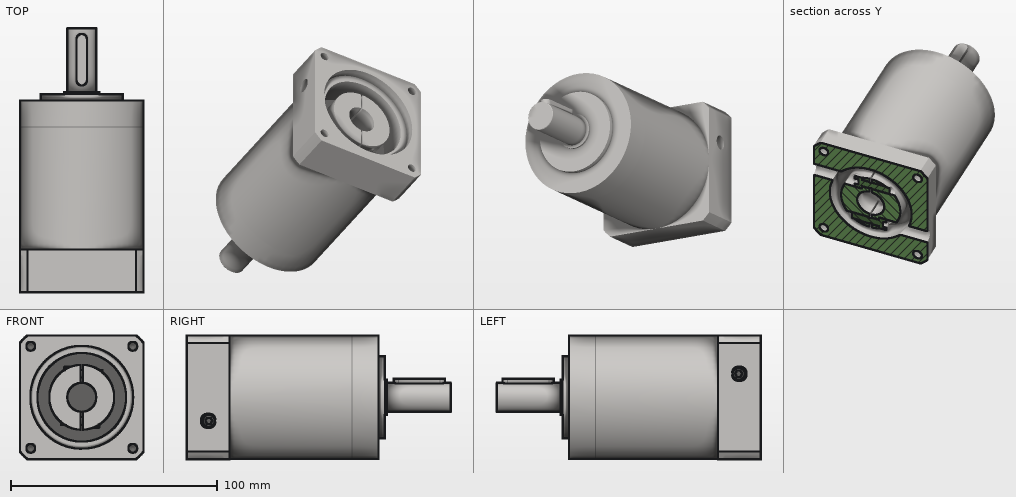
import cadquery as cq
import math

flange_length = 20.7
cover_joint = 80.1
cover_face = 93.0
pilot_face = 96.0
shoulder_face = 97.0
shaft_tip = 128.0

square_side = 60.0
corner_circle_radius = 40.0
motor_pilot_radius = 25.0
motor_pilot_depth = 5.1
cavity_radius = 21.5
bolt_spacing = 49.4
bolt_hole_radius = 2.2
bolt_hole_depth = 11.5
drill_point_angle = 118.0
access_hole_radius = 3.5
access_hole_station = flange_length / 2

housing_radius = square_side / 2
output_pilot_radius = 20.0

shaft_radius = 7.0
shoulder_radius = 8.6
tip_chamfer = 0.3
key_length = 25.0
key_width = 5.0
key_top = 9.1
key_tip_gap = 2.8

hub_face = 6.0
hub_radius = 15.7
bore_radius = 7.0
slot_width = 1.0
journal_radius = 11.5
journal_length = 6.4
journal_end = flange_length + journal_length

screw_station = 10.8
screw_offset = 11.4
screw_head_end = 8.6
screw_tip = 10.1
screw_head_radius = 3.5
screw_head_length = 4.0
screw_head_chamfer = 0.5
screw_thread_radius = 1.9
screw_turns = (0, 180)
socket_across_flats = 3.0
socket_depth = 2.0
socket_sides = 6


def cylinder(radius, start, end):
    """Cylinder on the Y axis between two stations."""
    return cq.Workplane("XZ", origin=(0, start, 0)).circle(radius).extrude(start - end)


def x_cylinder(radius, start, end, y, z):
    """Cylinder parallel to the X axis."""
    return cq.Workplane("YZ", origin=(start, y, z)).circle(radius).extrude(end - start)


def turned(body, angle):
    """Copy of a body turned about the Y axis."""
    return body.rotate((0, 0, 0), (0, 1, 0), angle)


def make_bolt_holes():
    """Four blind drilled holes with conical ends, entering the motor side."""
    point = bolt_hole_radius / math.tan(math.radians(drill_point_angle / 2))
    profile = cq.Workplane("XY").polyline([
        (0, 0),
        (bolt_hole_radius, 0),
        (bolt_hole_radius, bolt_hole_depth),
        (0, bolt_hole_depth + point),
    ]).close()
    drill = profile.revolve(360, (0, 0), (0, 1)).val()
    half = bolt_spacing / 2
    return [drill.translate(cq.Vector(x, 0, z)) for x in (-half, half) for z in (-half, half)]


def make_flange():
    block = cq.Workplane("XZ").rect(square_side, square_side).extrude(-flange_length)
    flange = block.intersect(cylinder(corner_circle_radius, 0, flange_length))
    flange = flange.cut(cylinder(motor_pilot_radius, 0, motor_pilot_depth))
    flange = flange.cut(cylinder(cavity_radius, 0, flange_length))
    for hole in make_bolt_holes():
        flange = flange.cut(hole)
    access_hole = x_cylinder(access_hole_radius, -square_side / 2, 0, access_hole_station, screw_offset)
    for angle in screw_turns:
        flange = flange.cut(turned(access_hole, angle))
    return flange


def make_housing():
    barrel = cylinder(housing_radius, flange_length, cover_joint)
    barrel = barrel.cut(cylinder(journal_radius, flange_length, journal_end))
    end_section = cylinder(housing_radius, cover_joint, cover_face)
    pilot = cylinder(output_pilot_radius, cover_face, pilot_face)
    return barrel.union(end_section, clean=False).union(pilot, clean=False)


def make_shaft():
    shaft = cylinder(shaft_radius, shoulder_face, shaft_tip).faces(">Y").chamfer(tip_chamfer)
    shaft = shaft.union(cylinder(shoulder_radius, pilot_face, shoulder_face))
    key_middle = shaft_tip - key_tip_gap - key_length / 2
    key = cq.Workplane("XY", origin=(0, key_middle, 0)).slot2D(key_length, key_width, 90).extrude(key_top)
    return shaft.union(key)


def make_screw():
    seat = -screw_head_end + screw_head_length
    head = x_cylinder(screw_head_radius, -screw_head_end, seat, screw_station, screw_offset)
    head = head.faces("<X").chamfer(screw_head_chamfer)
    thread = x_cylinder(screw_thread_radius, seat, screw_tip, screw_station, screw_offset)
    socket = (
        cq.Workplane("YZ", origin=(-screw_head_end, screw_station, screw_offset))
        .polygon(socket_sides, socket_across_flats / math.cos(math.pi / socket_sides))
        .extrude(socket_depth)
    )
    return head.union(thread).cut(socket)


def make_screw_space():
    seat = -screw_head_end + screw_head_length
    pocket = x_cylinder(screw_head_radius, -hub_radius, seat, screw_station, screw_offset)
    return pocket.union(x_cylinder(screw_thread_radius, seat, hub_radius, screw_station, screw_offset))


def make_hub():
    """Clamp collar slotted over its whole length, held together by the journal behind it."""
    collar = cylinder(hub_radius, hub_face, flange_length)
    slot = cq.Workplane("XZ", origin=(0, hub_face, 0)).rect(slot_width, 2 * hub_radius)
    collar = collar.cut(slot.extrude(hub_face - flange_length))
    for angle in screw_turns:
        collar = collar.cut(turned(make_screw_space(), angle))
    hub = collar.union(cylinder(journal_radius, flange_length, journal_end))
    return hub.cut(cylinder(bore_radius, hub_face, journal_end))


flange = make_flange()
housing = make_housing()
shaft = make_shaft()
hub = make_hub()
screws = [turned(make_screw(), angle).val() for angle in screw_turns]

result = cq.Compound.makeCompound([flange.val(), housing.val(), shaft.val(), hub.val(), *screws])